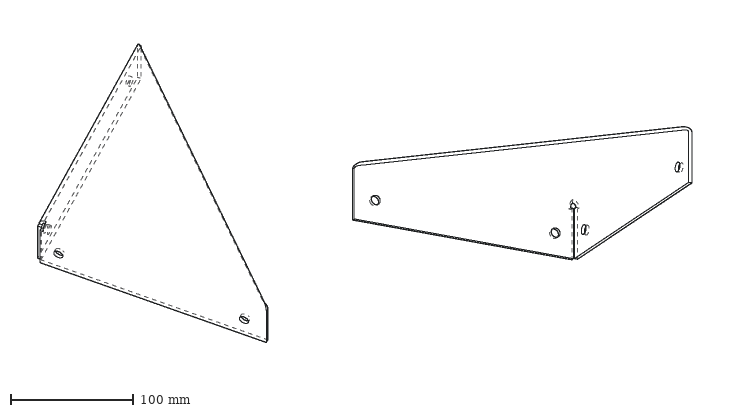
import cadquery as cq
import math

leg_length = 206.0
height = 50.0
thickness = 3.0
bend_radius = 6.2
flange_start = 3.5
hole_diameter = 8.0
hole_inset = 20.0

inner_radius = bend_radius - thickness
bend_bottom = height - bend_radius
plate_tip = leg_length - bend_radius


def make_plate():
    corners = [(bend_radius, bend_radius), (plate_tip, bend_radius), (bend_radius, plate_tip)]
    plate = cq.Workplane("XY").workplane(offset=height - thickness)
    return plate.polyline(corners).close().extrude(thickness)


def make_front_flange():
    flange = cq.Workplane("XY").box(
        leg_length - flange_start, thickness, bend_bottom, centered=False
    )
    flange = flange.translate((flange_start, 0, 0))
    holes = (
        cq.Workplane("XZ")
        .pushPoints([(hole_inset, hole_inset), (leg_length - hole_inset, hole_inset)])
        .circle(hole_diameter / 2)
        .extrude(-thickness)
    )
    return flange.cut(holes)


def bend_point(x, radius, angle):
    """Point on the bend; the angle runs from 0 at the flange to 90 degrees at the plate."""
    y = bend_radius - radius * math.cos(angle)
    z = bend_bottom + radius * math.sin(angle)
    return cq.Vector(x, y, z)


def tip_x(angle):
    """The bend tip recedes from the flange end to the plate's slanted edge."""
    return leg_length - bend_radius * (1 - math.cos(angle))


def bend_edge(radius, x_at):
    curve = cq.Workplane("XY").parametricCurve(
        lambda angle: bend_point(x_at(angle), radius, angle).toTuple(),
        N=24,
        start=0,
        stop=math.pi / 2,
        makeWire=False,
    )
    return curve.ctx.pendingEdges[0]


def bend_joint_face(angle):
    """Flat rectangle where the bend meets the flange or the plate."""
    end = tip_x(angle)
    corners = [
        bend_point(bend_radius, bend_radius, angle),
        bend_point(end, bend_radius, angle),
        bend_point(end, inner_radius, angle),
        bend_point(bend_radius, inner_radius, angle),
    ]
    return cq.Face.makeFromWires(cq.Wire.makePolygon(corners, close=True))


def make_front_bend():
    outer_start = bend_edge(bend_radius, lambda angle: bend_radius)
    inner_start = bend_edge(inner_radius, lambda angle: bend_radius)
    outer_tip = bend_edge(bend_radius, tip_x)
    inner_tip = bend_edge(inner_radius, tip_x)
    edge_pairs = [
        (outer_start, outer_tip),
        (inner_start, inner_tip),
        (outer_start, inner_start),
        (outer_tip, inner_tip),
    ]
    faces = [cq.Face.makeRuledSurface(first, second) for first, second in edge_pairs]
    faces += [bend_joint_face(0), bend_joint_face(math.pi / 2)]
    return cq.Workplane(cq.Solid.makeSolid(cq.Shell.makeShell(faces)).fix())


def swap_x_and_y(body):
    """Reflect in the vertical plane that bisects the corner."""
    return body.mirror("XZ").rotate((0, 0, 0), (0, 0, 1), 90)


front_side = make_front_flange().union(make_front_bend())
left_side = swap_x_and_y(front_side)
result = make_plate().union(front_side).union(left_side)